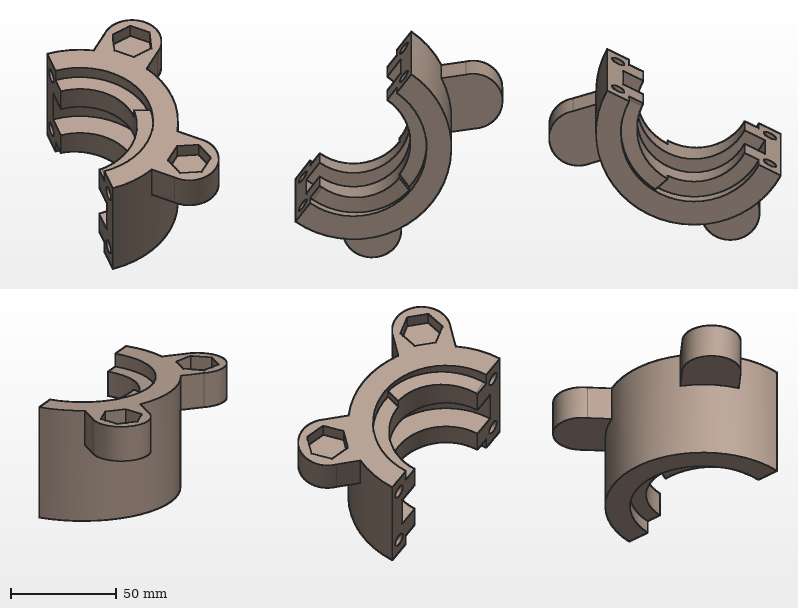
import cadquery as cq
import math

total_height = 56.0
half_height = total_height / 2
body_radius = 46.6
bore_radius = 27.1
recess_radius = 34.8
recess_depth = 6.6
groove_radius = 38.0
groove_height = 18.0

overall_length = 109.3
ear_radius = 14.0
ear_round_overrun = 1.4
ear_half_width = math.sqrt(ear_radius**2 - ear_round_overrun**2)
ear_height = 17.4
ear_center = overall_length / 2 - ear_radius
ear_directions = (45, 135)
nut_circle_diameter = 20.5
nut_pocket_depth = 7.0
nut_pocket_turn = 30

hole_diameter = 6.6
hole_depth = 10.9
hole_x = (body_radius + recess_radius) / 2
hole_end_distance = 9.5
hole_z = half_height - hole_end_distance

ramp_height = 4.4
ramp_start_angle = 2.5
ramp_end_angle = 90.0
ramp_end_offset = 2.5
sweep_extra_angle = 5.0
sweep_margin = 3.3


def cylinder(radius, bottom, height):
    return cq.Workplane("XY").workplane(offset=bottom).circle(radius).extrude(height)


def ear(direction):
    """Round-ended arm from the bore axis, flush with the top face."""
    reach = ear_center * math.sqrt(2)
    round_start = reach - ear_round_overrun
    arm = (
        cq.Workplane("XY")
        .workplane(offset=half_height - ear_height)
        .moveTo(0, -ear_half_width)
        .lineTo(round_start, -ear_half_width)
        .threePointArc((reach + ear_radius, 0), (round_start, ear_half_width))
        .lineTo(0, ear_half_width)
        .close()
        .extrude(ear_height)
    )
    pocket = (
        cq.Workplane("XY")
        .polygon(6, nut_circle_diameter)
        .extrude(nut_pocket_depth)
        .rotate((0, 0, 0), (0, 0, 1), nut_pocket_turn)
        .translate((reach, 0, half_height - nut_pocket_depth))
    )
    return arm.cut(pocket).rotate((0, 0, 0), (0, 0, 1), direction)


def helical_ramp():
    """Ramp on the upper recess floor, rising from the split face to a slanted end."""
    floor = half_height - recess_depth
    pitch = ramp_height * 360 / (ramp_end_angle - ramp_start_angle)
    sweep_angle = ramp_end_angle - ramp_start_angle + sweep_extra_angle
    middle_radius = (bore_radius + recess_radius) / 2
    path = cq.Workplane(cq.Wire.makeHelix(pitch, pitch * sweep_angle / 360, middle_radius))
    band = (
        cq.Workplane("XZ")
        .center(middle_radius, -recess_depth / 2)
        .rect(recess_radius - bore_radius + 2 * sweep_margin, recess_depth)
        .sweep(path, isFrenet=True)
        .rotate((0, 0, 0), (0, 0, 1), ramp_start_angle)
        .translate((0, 0, floor))
    )
    ring = cylinder(recess_radius, floor, recess_depth).cut(
        cylinder(bore_radius, floor, recess_depth)
    )
    slanted_side = (
        cq.Workplane("XY")
        .workplane(offset=floor)
        .polyline([
            (0, 0),
            (0, bore_radius),
            (ramp_end_offset, recess_radius),
            (recess_radius, recess_radius),
            (recess_radius, 0),
        ])
        .close()
        .extrude(recess_depth)
    )
    return band.intersect(ring.intersect(slanted_side))


body = cylinder(body_radius, -half_height, total_height)
for ear_direction in ear_directions:
    body = body.union(ear(ear_direction))

body = body.cut(cylinder(bore_radius, -half_height, total_height))
body = body.cut(cylinder(groove_radius, -groove_height / 2, groove_height))
body = body.cut(cylinder(recess_radius, half_height - recess_depth, recess_depth))
body = body.cut(cylinder(recess_radius, -half_height, recess_depth))

front_half = cq.Workplane("XY").box(
    overall_length, overall_length, total_height, centered=(True, False, True)
).translate((0, -overall_length, 0))
body = body.cut(front_half)

holes = (
    cq.Workplane("XZ")
    .rect(2 * hole_x, 2 * hole_z, forConstruction=True)
    .vertices()
    .circle(hole_diameter / 2)
    .extrude(-hole_depth)
)
body = body.cut(holes)

upper_ramp = helical_ramp()
lower_ramp = upper_ramp.rotate((0, 0, 0), (0, 1, 0), 180)
result = body.union(upper_ramp).union(lower_ramp)